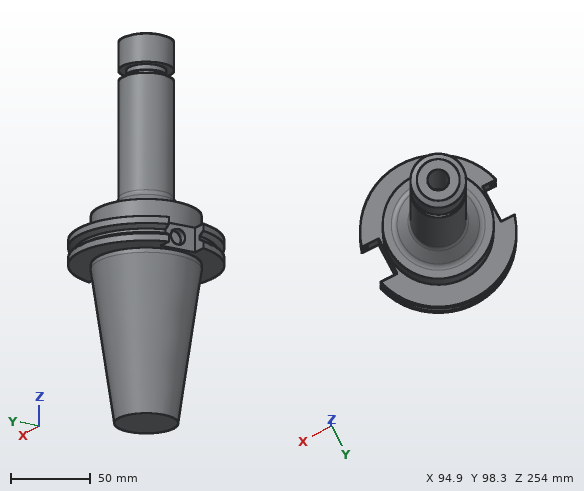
import cadquery as cq
import math

total_height = 254.0
taper_length = 101.5
flange_bottom = 104.6
flange_top = 121.0
collar_top = 137.0
shank_top = 226.3
neck_step = 230.0
nut_bottom = 233.7

gauge_diameter = 69.8
taper_ratio = 7 / 24
flange_diameter = 98.3
shank_diameter = 35.0
lower_neck_diameter = 22.5
upper_neck_diameter = 25.5
nut_face_diameter = 27.0
nut_chamfer_height = 1.8

groove_height = 112.8
groove_mouth_width = 6.9
groove_depth = 4.0
groove_flank_angle = math.radians(30)

cone_rise = 12.0
blend_radius = 5.0

slot_width = 25.5
left_slot_floor = 37.8
right_slot_floor = 35.5
dimple_diameter = 10.5
dimple_depth = 5.0
bore_diameter = 13.5
bore_depth = 50.8


def make_body():
    """Revolve the outline of the holder about Z."""
    gauge_radius = gauge_diameter / 2
    small_radius = (gauge_diameter - taper_length * taper_ratio) / 2
    flange_radius = flange_diameter / 2
    shank_radius = shank_diameter / 2

    groove_radius = flange_radius - groove_depth
    mouth_half = groove_mouth_width / 2
    root_half = mouth_half - groove_depth * math.tan(groove_flank_angle)

    cone_foot = shank_radius + cone_rise
    cone_top = collar_top + cone_rise
    end_along = blend_radius * math.sin(math.pi / 4)
    end_aside = blend_radius * (1 - math.cos(math.pi / 4))
    mid_along = blend_radius * math.sin(math.pi / 8)
    mid_aside = blend_radius * (1 - math.cos(math.pi / 8))

    outline = (
        cq.Workplane("XZ")
        .lineTo(small_radius, 0)
        .lineTo(gauge_radius, taper_length)
        .lineTo(gauge_radius, flange_bottom)
        .lineTo(flange_radius, flange_bottom)
        .lineTo(flange_radius, groove_height - mouth_half)
        .lineTo(groove_radius, groove_height - root_half)
        .lineTo(groove_radius, groove_height + root_half)
        .lineTo(flange_radius, groove_height + mouth_half)
        .lineTo(flange_radius, flange_top)
        .lineTo(gauge_radius, flange_top)
        .lineTo(gauge_radius, collar_top)
        .lineTo(cone_foot, collar_top)
        .threePointArc(
            (cone_foot - mid_along, collar_top + mid_aside),
            (cone_foot - end_along, collar_top + end_aside),
        )
        .lineTo(shank_radius + end_aside, cone_top - end_along)
        .threePointArc(
            (shank_radius + mid_aside, cone_top - mid_along),
            (shank_radius, cone_top),
        )
        .lineTo(shank_radius, shank_top)
        .lineTo(lower_neck_diameter / 2, shank_top)
        .lineTo(lower_neck_diameter / 2, neck_step)
        .lineTo(upper_neck_diameter / 2, neck_step)
        .lineTo(upper_neck_diameter / 2, nut_bottom)
        .lineTo(shank_radius, nut_bottom)
        .lineTo(shank_radius, total_height - nut_chamfer_height)
        .lineTo(nut_face_diameter / 2, total_height)
        .lineTo(0, total_height)
        .close()
    )
    return outline.revolve(360, (0, 0, 0), (0, 1, 0))


def make_slot(side, floor):
    """Drive slot through the flange; side is -1 or +1 along X."""
    slot_length = flange_diameter / 2
    slot_height = flange_top - flange_bottom
    return cq.Workplane("XY").box(slot_length, slot_width, slot_height).translate(
        (side * (floor + slot_length / 2), 0, (flange_bottom + flange_top) / 2)
    )


def make_dimple():
    """Blind round hole in the floor of the -X slot."""
    return (
        cq.Workplane("YZ", origin=(-left_slot_floor, 0, groove_height))
        .circle(dimple_diameter / 2)
        .extrude(dimple_depth)
    )


def make_bore():
    """Blind tool bore in the nut face."""
    return (
        cq.Workplane("XY", origin=(0, 0, total_height - bore_depth))
        .circle(bore_diameter / 2)
        .extrude(bore_depth)
    )


result = (
    make_body()
    .cut(make_slot(-1, left_slot_floor))
    .cut(make_slot(1, right_slot_floor))
    .cut(make_dimple())
    .cut(make_bore())
)